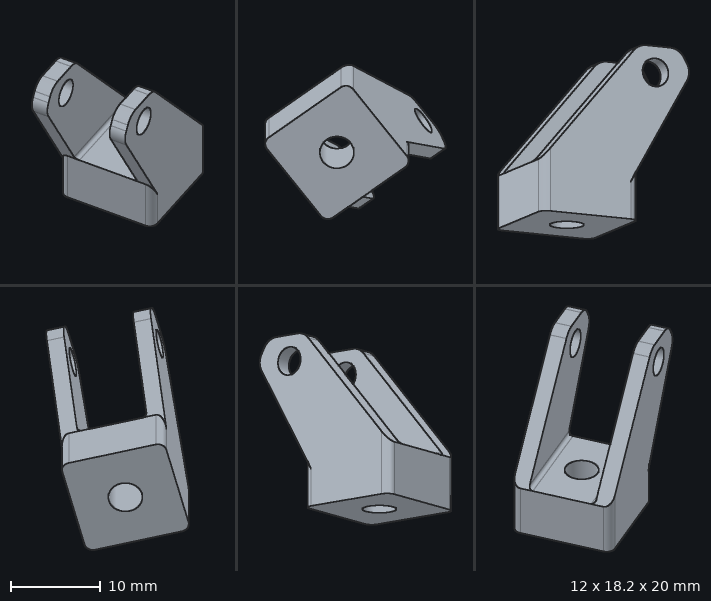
import cadquery as cq
import math

base_size = 12.0
base_height = 6.0
corner_radius = 1.0
base_hole_diameter = 3.8

total_height = 20.0
ear_thickness = 2.0
ear_root_radius = 0.5
ear_tip_radius = 2.0
underside_angle = 60.0
overall_depth = 18.25
top_back_y = -6.0
pin_hole_diameter = 3.2
pin_y = -8.08
pin_z = 17.0

half_size = base_size / 2
channel_width = base_size - 2 * ear_thickness
slope = math.tan(math.radians(underside_angle))

nose_overshoot = ear_tip_radius * (1 / math.sin(math.radians(underside_angle)) - 1)
nose_y = half_size - overall_depth - nose_overshoot
nose_z = base_height + (-half_size - nose_y) * slope
top_front_y = nose_y + (total_height - nose_z) / slope

underside_end_y = -half_size + corner_radius
underside_end_z = base_height - corner_radius * slope


def make_base():
    block = cq.Workplane("XY").box(base_size, base_size, base_height, centered=(True, True, False))
    return block.edges("|Z").fillet(corner_radius)


def make_ear_block():
    """Ear side profile across the full width, with rounded tip and back corners."""
    block = (
        cq.Workplane("YZ", origin=(-half_size, 0, 0))
        .moveTo(half_size, 0)
        .lineTo(half_size, base_height)
        .lineTo(top_back_y, total_height)
        .lineTo(top_front_y, total_height)
        .lineTo(nose_y, nose_z)
        .lineTo(underside_end_y, underside_end_z)
        .lineTo(underside_end_y, 0)
        .close()
        .extrude(base_size)
    )
    for y, z in ((top_back_y, total_height), (top_front_y, total_height), (nose_y, nose_z)):
        tip_edge = cq.selectors.NearestToPointSelector((0, y, z))
        block = block.edges(tip_edge).fillet(ear_tip_radius)
    return block.edges("|Z and >Y").fillet(corner_radius)


def make_channel():
    """Gap between the ears, with rounded lower edges, running past the part in Y."""
    channel = cq.Workplane("XY", origin=(0, 0, base_height)).box(
        channel_width, 2 * overall_depth, total_height, centered=(True, True, False)
    )
    return channel.edges("|Y and <Z").fillet(ear_root_radius)


def make_base_hole():
    return cq.Workplane("XY").circle(base_hole_diameter / 2).extrude(base_height)


def make_pin_hole():
    return (
        cq.Workplane("YZ", origin=(-half_size, 0, 0))
        .center(pin_y, pin_z)
        .circle(pin_hole_diameter / 2)
        .extrude(base_size)
    )


body = make_base().union(make_ear_block())
result = body.cut(make_channel()).cut(make_base_hole()).cut(make_pin_hole())